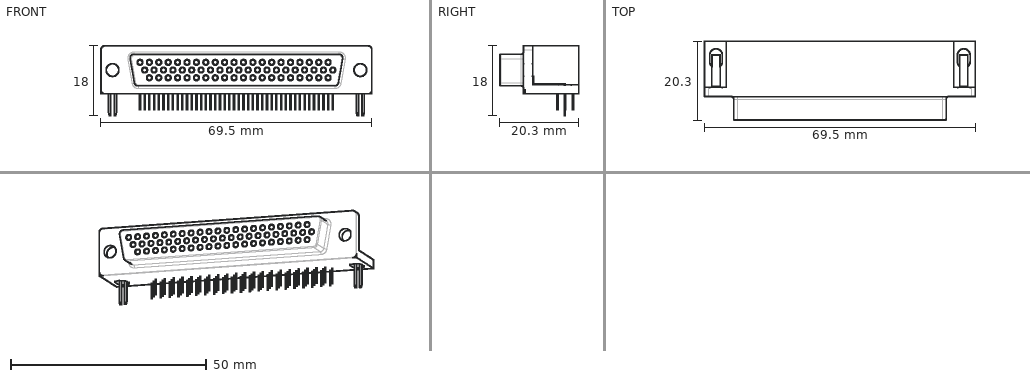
import cadquery as cq
import math


length = 69.5
height = 12.4
mid_z = 6.1
block_width = 58.4
shelf_height = 2.3
flange_back = 11.9
plate_back = 13.8
plate_front = 14.25
plate_edge_radius = 0.15
corner_radius = 1.05

mount_spacing = 63.5
mount_diameter = 3.2
slot_length = 4.85
slot_from_rear = 4.45

total_depth = 20.3
shell_height = 8.1
shell_width = 54.9
shell_angle = 10.0
flare_radius = 0.6
shell_corner_radius = 1.0
tip_radius = 0.3

row_counts = (21, 21, 20)
row_span = 48.2
contact_pitch = row_span / (max(row_counts) - 1)
rows_height = 3.95
row_pitch = rows_height / (len(row_counts) - 1)
contact_diameter = 1.2
contact_chamfer = 0.15
chamfer_angle = 45.0
contact_depth = 4.2
pin_diameter = 0.3
pin_length = 4.0
pin_rear_row = 1.5
pin_embed = 0.7

strap_width = 2.1
strap_thickness = 0.3
strap_rear = 3.55
strap_rise = 2.2
leg_width = 0.6
leg_length = 5.55
leg_taper_length = 0.8
leg_taper = 0.2
leg_gap_top = 0.7

mount_xs = (-mount_spacing / 2, mount_spacing / 2)


def box(x_size, y_near, y_far, z_low, z_high, x_mid=0.0):
    """Box between two distances from the rear face, growing toward -Y."""
    return (
        cq.Workplane("XY")
        .box(x_size, y_far - y_near, z_high - z_low, centered=(True, False, False))
        .translate((x_mid, -y_far, z_low))
    )


def front_plane(distance, z=0.0):
    """Plane facing -Y at a distance in front of the rear face."""
    return cq.Workplane("XZ", origin=(0, -distance, z))


def make_housing():
    shelf = box(length, 0, flange_back, 0, shelf_height)
    block = box(block_width, 0, flange_back, 0, height)
    flange = box(length, flange_back, plate_back, 0, height)
    flange = flange.edges("|Y and >Z").fillet(corner_radius)
    plate = box(length, plate_back, plate_front, 0, height)
    plate = plate.edges("|Y").fillet(corner_radius)
    plate = plate.faces("<Y").edges().fillet(plate_edge_radius)
    return shelf.union(block).union(flange).union(plate)


def make_shell():
    lean = shell_height * math.tan(math.radians(shell_angle))
    half_top = shell_width / 2
    half_bottom = half_top - lean
    half_height = shell_height / 2
    outline = [
        (-half_top, half_height),
        (half_top, half_height),
        (half_bottom, -half_height),
        (-half_bottom, -half_height),
    ]
    shell = front_plane(plate_front, mid_z).polyline(outline).close().extrude(total_depth - plate_front)
    shell = shell.edges("|Y").fillet(shell_corner_radius)
    return shell.faces("<Y").edges().fillet(tip_radius)


def add_flare(body):
    """Concave fillet where the shell rises out of the face plate."""
    thin = plate_edge_radius / 2
    half_width = shell_width / 2
    half_height = shell_height / 2
    foot = cq.selectors.BoxSelector(
        (-half_width, -plate_front - thin, mid_z - half_height - thin),
        (half_width, -plate_front + thin, mid_z + half_height + thin),
    )
    return body.edges(foot).fillet(flare_radius)


def contact_rows():
    """Contact X positions of the top, middle and bottom rows."""
    stagger = contact_pitch / 4
    shifts = (-stagger, stagger, stagger)
    rows = []
    for count, shift in zip(row_counts, shifts):
        rows.append([shift + (i - (count - 1) / 2) * contact_pitch for i in range(count)])
    return rows


def cut_contacts(body):
    for row, xs in enumerate(contact_rows()):
        z = (1 - row) * row_pitch
        sockets = (
            front_plane(total_depth - contact_depth, mid_z)
            .pushPoints([(x, z) for x in xs])
            .circle(contact_diameter / 2)
            .extrude(contact_depth)
        )
        lead_ins = (
            front_plane(total_depth, mid_z)
            .pushPoints([(x, z) for x in xs])
            .circle(contact_diameter / 2 + contact_chamfer)
            .extrude(-contact_chamfer, taper=chamfer_angle)
        )
        body = body.cut(sockets).cut(lead_ins)
    return body


def add_pins(body):
    """Board pins: the top contact row feeds the rearmost pin row."""
    for row, xs in enumerate(contact_rows()):
        y = -(pin_rear_row + row * row_pitch)
        pins = (
            cq.Workplane("XY", origin=(0, 0, -pin_length))
            .pushPoints([(x, y) for x in xs])
            .circle(pin_diameter / 2)
            .extrude(pin_length + pin_embed)
        )
        body = body.union(pins)
    return body


def cut_mounts(body):
    holes = (
        front_plane(flange_back, mid_z)
        .pushPoints([(x, 0) for x in mount_xs])
        .circle(mount_diameter / 2)
        .extrude(plate_front - flange_back)
    )
    slots = (
        cq.Workplane("XY")
        .pushPoints([(x, -slot_from_rear) for x in mount_xs])
        .slot2D(slot_length, mount_diameter, 90)
        .extrude(shelf_height)
    )
    return body.cut(holes).cut(slots)


def make_strap(x_mid):
    """Bent metal strap: tab on the flange, run along the shelf, two legs down the slot."""
    top = shelf_height + strap_thickness
    run = box(strap_width, strap_rear, flange_back, shelf_height, top, x_mid)
    tab = box(strap_width, flange_back - strap_thickness, flange_back,
              shelf_height, shelf_height + strap_rise, x_mid)
    half = strap_width / 2
    inner = half - leg_width
    legs_outline = [
        (-half, top),
        (half, top),
        (half, leg_taper_length - leg_length),
        (half - leg_taper, -leg_length),
        (inner, -leg_length),
        (inner, leg_gap_top),
        (-inner, leg_gap_top),
        (-inner, -leg_length),
        (leg_taper - half, -leg_length),
        (-half, leg_taper_length - leg_length),
    ]
    legs = front_plane(strap_rear).polyline(legs_outline).close().extrude(strap_thickness)
    return run.union(tab).union(legs.translate((x_mid, 0, 0)))


body = add_flare(make_housing().union(make_shell()))
body = cut_contacts(body)
body = add_pins(body)
body = cut_mounts(body)
for mount_x in mount_xs:
    body = body.union(make_strap(mount_x))

result = body